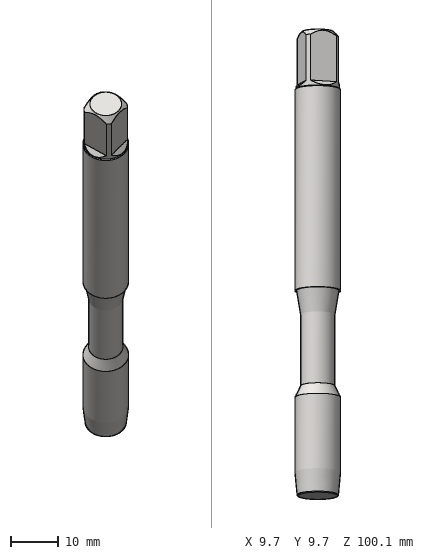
import cadquery as cq

total_length = 100.1

cutter_diameter = 9.7
cutter_length = 21.2
lead_length = 5.0
lead_tip_diameter = 8.8
tip_chamfer = 0.2

neck_diameter = 7.3
neck_bottom = 23.7
neck_top = 39.0
neck_cone_diameter = 9.0
shank_bottom = 44.2

shank_diameter = 9.7
shank_top = 87.6
drive_diameter = 9.3
drive_width = 7.3
flat_bottom = 88.9
drive_chamfer = 1.3


def revolve_profile(points):
    """Revolve a closed (radius, height) outline around the Z axis."""
    return cq.Workplane("XZ").polyline(points).close().revolve(360, (0, 0, 0), (0, 1, 0))


def make_cutter():
    """Cutting end: a plain cylinder with a tapered lead."""
    return revolve_profile([
        (0, 0),
        (lead_tip_diameter / 2 - tip_chamfer, 0),
        (lead_tip_diameter / 2, tip_chamfer),
        (cutter_diameter / 2, lead_length),
        (cutter_diameter / 2, cutter_length),
        (0, cutter_length),
    ])


def make_round_shank():
    """Neck, shank and drive blank as one turned shape."""
    drive_radius = drive_diameter / 2
    shank_radius = shank_diameter / 2
    shoulder_top = shank_top + shank_radius - drive_radius
    return revolve_profile([
        (0, cutter_length),
        (cutter_diameter / 2, cutter_length),
        (neck_diameter / 2, neck_bottom),
        (neck_diameter / 2, neck_top),
        (neck_cone_diameter / 2, shank_bottom),
        (shank_radius, shank_bottom),
        (shank_radius, shank_top),
        (drive_radius, shoulder_top),
        (drive_radius, total_length - drive_chamfer),
        (drive_radius - drive_chamfer, total_length),
        (0, total_length),
    ])


def make_drive_flat_cutter():
    """Material removed on the +X side: a flat that runs out at 45 degrees."""
    flat_distance = drive_width / 2
    outer_distance = shank_diameter / 2
    runout = outer_distance - flat_distance
    return (
        cq.Workplane("XZ")
        .moveTo(flat_distance, total_length)
        .lineTo(flat_distance, flat_bottom)
        .lineTo(outer_distance, flat_bottom - runout)
        .lineTo(outer_distance, total_length)
        .close()
        .extrude(shank_diameter / 2, both=True)
    )


def make_shank():
    """Shank with four flats that form the square drive."""
    shank = make_round_shank()
    flat_cutter = make_drive_flat_cutter()
    for angle in (0, 90, 180, 270):
        shank = shank.cut(flat_cutter.rotate((0, 0, 0), (0, 0, 1), angle))
    return shank


cutter = make_cutter()
shank = make_shank()

result = cq.Compound.makeCompound([cutter.val(), *shank.vals()])